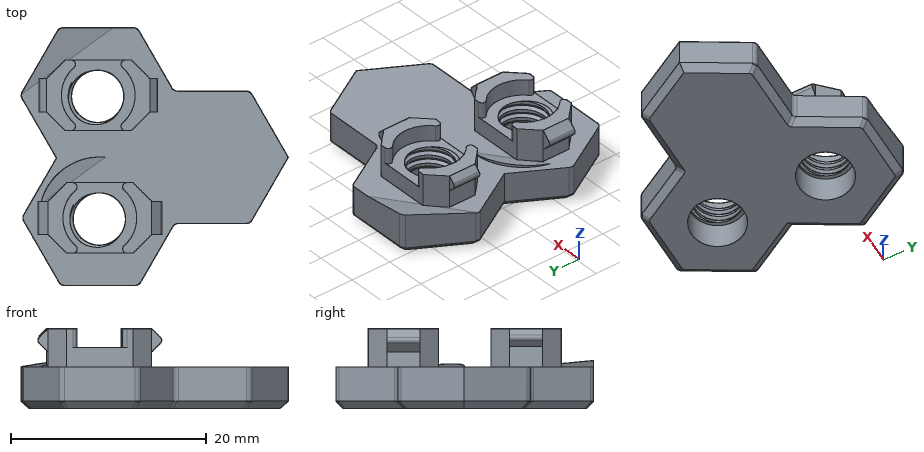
import cadquery as cq
import math

plate_height = 4.3
bottom_chamfer = 0.77
corner_radius = 0.65
socket_cell_apothem = 6.91
plain_cell_apothem = 6.78
upper_center = (-11.67, 6.35)
lower_center = (-11.5, -6.2)
plain_center = (-0.05, 0)

pad_rise_direction = 126
pad_start_distance = 4.7
pad_slope = 11.3
pad_length = 21.86
lower_pad_radius = 6.23

boss_top = 8.2
boss_half_length = 5.3
boss_half_width = 3.6
boss_corner_cut = 1.9
recess_depth = 1.9
recess_floor = boss_top - recess_depth
recess_radius = 3.77
horn_tip_radius = 0.45
upper_barb_leg = 0.93
lower_barb_leg = 1.2
barb_tip_radius = 0.4

hole_diameter = 5.33
hole_offset = (-0.05, -0.1)
thread_pitch = 1.0
thread_depth = 0.35
thread_mouth_width = 0.77
thread_root_width = 0.15
thread_exit_angle = 212
thread_overlap = 0.08
relief_diameter = 6.12
relief_height = 3.55


def hexagon(center, apothem):
    """Plate-height hexagonal prism on the ground plane with corners pointing along X."""
    corner_diameter = 2 * apothem / math.cos(math.radians(30))
    return cq.Workplane().center(*center).polygon(6, corner_diameter).extrude(plate_height)


def make_plate():
    """Merge the cells, bevel the bottom and round every corner except two that stay sharp."""
    plate = hexagon(plain_center, plain_cell_apothem)
    for center in (upper_center, lower_center):
        plate = plate.union(hexagon(center, socket_cell_apothem))
    plate = plate.faces("<Z").chamfer(bottom_chamfer)

    corners = plate.edges("not #Z").filter(lambda edge: abs(edge.Center().y) > corner_radius)
    return plate.newObject(corners.vals()).fillet(corner_radius)


def make_slope_wedge(center):
    """Wedge above the plate that starts at a straight line and rises away from the cell center."""
    rise = pad_length * math.tan(math.radians(pad_slope))
    return (
        cq.Workplane("XZ")
        .polyline([(0, 0), (pad_length, 0), (pad_length, rise)])
        .close()
        .extrude(pad_length, both=True)
        .translate((pad_start_distance, 0, plate_height))
        .rotate((0, 0, 0), (0, 0, 1), pad_rise_direction)
        .translate((*center, 0))
    )


def make_upper_pad():
    """Wedge trimmed to the rounded outline of its cell."""
    outline = hexagon(upper_center, socket_cell_apothem).edges("|Z").fillet(corner_radius)
    return make_slope_wedge(upper_center).intersect(outline.translate((0, 0, plate_height)))


def make_lower_pad():
    """Wedge trimmed to a disc around its boss."""
    disc = (
        cq.Workplane(origin=(0, 0, plate_height))
        .center(*lower_center)
        .circle(lower_pad_radius)
        .extrude(plate_height)
    )
    return make_slope_wedge(lower_center).intersect(disc)


def make_recess():
    """Cutter between the two horns: a wide arc each side, with rounded horn tips."""
    tip_y = boss_half_width - horn_tip_radius
    tip_reach = recess_radius + horn_tip_radius
    tip_x = math.sqrt(tip_reach**2 - tip_y**2)
    joint_x = tip_x * recess_radius / tip_reach
    joint_y = tip_y * recess_radius / tip_reach

    side_angle = math.pi / 2
    joint_angle = math.pi + math.atan2(tip_y, tip_x)
    middle_angle = (side_angle + joint_angle) / 2
    middle_x = tip_x + horn_tip_radius * math.cos(middle_angle)
    middle_y = tip_y + horn_tip_radius * math.sin(middle_angle)

    return (
        cq.Workplane(origin=(0, 0, recess_floor))
        .moveTo(-tip_x, boss_half_width)
        .lineTo(tip_x, boss_half_width)
        .threePointArc((middle_x, middle_y), (joint_x, joint_y))
        .threePointArc((recess_radius, 0), (joint_x, -joint_y))
        .threePointArc((middle_x, -middle_y), (tip_x, -boss_half_width))
        .lineTo(-tip_x, -boss_half_width)
        .threePointArc((-middle_x, -middle_y), (-joint_x, -joint_y))
        .threePointArc((-recess_radius, 0), (-joint_x, joint_y))
        .threePointArc((-middle_x, middle_y), (-tip_x, boss_half_width))
        .close()
        .extrude(recess_depth)
    )


def make_barbs(leg):
    """Two triangular snap ridges with rounded tips on the +X and -X ends of the boss."""
    barb_half_width = boss_half_width - boss_corner_cut
    barb = (
        cq.Workplane("XZ")
        .polyline(
            [
                (0, boss_top),
                (boss_half_length, boss_top),
                (boss_half_length + leg, boss_top - leg),
                (boss_half_length, boss_top - 2 * leg),
                (0, boss_top - 2 * leg),
            ]
        )
        .close()
        .extrude(barb_half_width, both=True)
        .edges(">X")
        .fillet(barb_tip_radius)
    )
    return barb.union(barb.mirror("YZ"))


def make_boss(barb_leg):
    """Snap boss about the origin, standing on the plate."""
    body = (
        cq.Workplane(origin=(0, 0, plate_height))
        .rect(2 * boss_half_length, 2 * boss_half_width)
        .extrude(boss_top - plate_height)
        .edges("|Z")
        .chamfer(boss_corner_cut)
    )
    return body.union(make_barbs(barb_leg)).cut(make_recess())


def make_threaded_hole():
    """Cutter about the Z axis: a bore, a helical groove in its upper part and a plain relief below."""
    bore_radius = hole_diameter / 2
    bore = cq.Workplane().circle(bore_radius).extrude(boss_top)
    relief = cq.Workplane().circle(relief_diameter / 2).extrude(relief_height)

    groove_start = relief_height - thread_pitch
    turns_to_floor = (recess_floor - groove_start) / thread_pitch
    helix = cq.Wire.makeHelix(thread_pitch, (turns_to_floor + 1) * thread_pitch, bore_radius)
    inner_x = bore_radius - thread_overlap
    outer_x = bore_radius + thread_depth
    groove = (
        cq.Workplane("XZ")
        .polyline(
            [
                (inner_x, -thread_mouth_width / 2),
                (outer_x, -thread_root_width / 2),
                (outer_x, thread_root_width / 2),
                (inner_x, thread_mouth_width / 2),
            ]
        )
        .close()
        .sweep(cq.Workplane(helix), isFrenet=True)
    )
    start_angle = thread_exit_angle - 360 * turns_to_floor
    groove = groove.rotate((0, 0, 0), (0, 0, 1), start_angle).translate((0, 0, groove_start))
    return bore.union(groove).union(relief)


result = make_plate().union(make_upper_pad()).union(make_lower_pad())
for center, barb_leg in ((upper_center, upper_barb_leg), (lower_center, lower_barb_leg)):
    result = result.union(make_boss(barb_leg).translate((*center, 0)))

threaded_hole = make_threaded_hole()
for center in (upper_center, lower_center):
    hole_place = (center[0] + hole_offset[0], center[1] + hole_offset[1], 0)
    result = result.cut(threaded_hole.translate(hole_place))